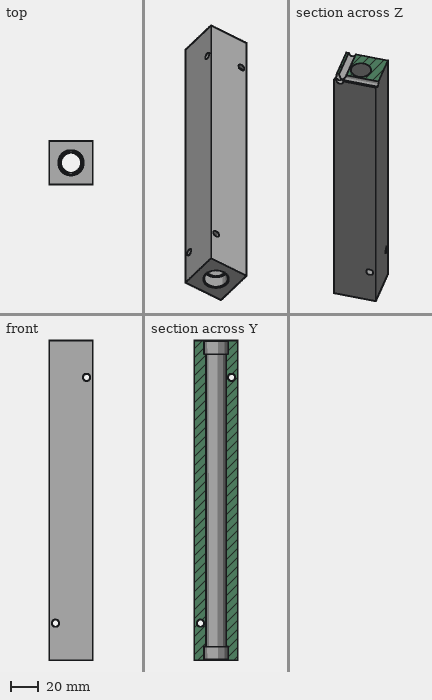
import cadquery as cq

length = 231.8
width = 31.8

bore_diameter = 14.4
socket_diameter = 17.2
socket_depth = 10.0
mouth_chamfer = 0.7

cross_hole_diameter = 5.0
cross_hole_edge_distance = 4.6
cross_hole_end_distance = 27.0
cross_hole_offset = width / 2 - cross_hole_edge_distance
cross_hole_height = length / 2 - cross_hole_end_distance


def make_bore():
    """Return the cutter for the bore along the full length."""
    return cq.Workplane("XY").circle(bore_diameter / 2).extrude(length / 2, both=True)


def make_top_socket():
    """Return the cutter for the upper socket and its chamfered mouth."""
    socket_radius = socket_diameter / 2
    top = length / 2
    return (
        cq.Workplane("XZ")
        .moveTo(0, top)
        .lineTo(socket_radius + mouth_chamfer, top)
        .lineTo(socket_radius, top - mouth_chamfer)
        .lineTo(socket_radius, top - socket_depth)
        .lineTo(0, top - socket_depth)
        .close()
        .revolve(360, (0, 0), (0, 1))
    )


def make_cross_holes(plane):
    """Return two through-hole cutters, one near each end and on opposite sides of the axis."""
    return (
        cq.Workplane(plane)
        .pushPoints([
            (cross_hole_offset, cross_hole_height),
            (-cross_hole_offset, -cross_hole_height),
        ])
        .circle(cross_hole_diameter / 2)
        .extrude(width / 2, both=True)
    )


result = cq.Workplane("XY").box(width, width, length)
result = result.cut(make_bore())

top_socket = make_top_socket()
result = result.cut(top_socket)
result = result.cut(top_socket.mirror("XY"))

for plane in ("XZ", "YZ"):
    result = result.cut(make_cross_holes(plane))